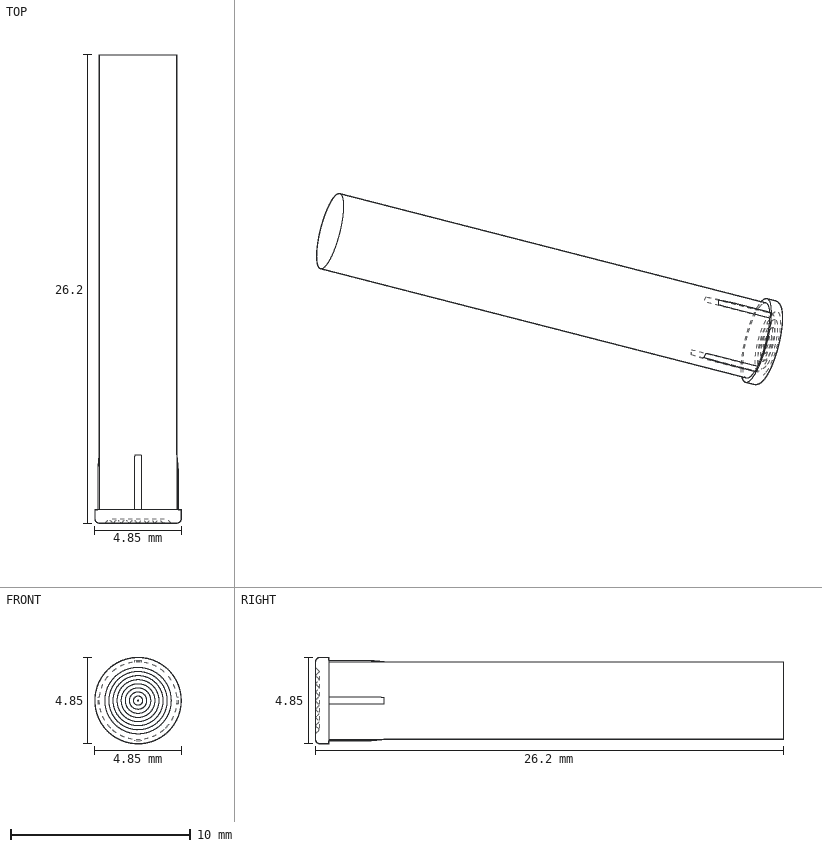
import cadquery as cq
import math

total_length = 26.15
flange_diameter = 4.85
flange_thickness = 0.75
flange_fillet = 0.25
rod_diameter = 4.35

groove_count = 4
groove_outer_radius = 1.85
center_flat_radius = 0.03
groove_pitch = (groove_outer_radius - center_flat_radius) / groove_count
groove_depth = groove_pitch / 2

rib_count = 4
rib_reach = 3.82
rib_height = 0.08
rib_tip_height = 0.005
rib_width = 0.4
rib_edge_fillet = 0.05
rib_ramp_length = 0.78
rib_blend_length = 0.24
rib_embed = 0.13

rod_radius = rod_diameter / 2
flange_radius = flange_diameter / 2


def make_body():
    """Revolved rod and flange, with the grooved face at y = 0."""
    profile = cq.Workplane("XY").moveTo(0, 0).lineTo(center_flat_radius, 0)
    for index in range(groove_count):
        crest = center_flat_radius + index * groove_pitch
        profile = profile.lineTo(crest + groove_pitch / 2, groove_depth)
        profile = profile.lineTo(crest + groove_pitch, 0)
    corner = flange_fillet * (1 - math.sqrt(0.5))
    profile = (
        profile.lineTo(flange_radius - flange_fillet, 0)
        .threePointArc((flange_radius - corner, corner), (flange_radius, flange_fillet))
        .lineTo(flange_radius, flange_thickness)
        .lineTo(rod_radius, flange_thickness)
        .lineTo(rod_radius, total_length)
        .lineTo(0, total_length)
        .close()
    )
    return profile.revolve(360, (0, 0, 0), (0, 1, 0))


def make_rib():
    """Rib on the +Z side with a blended ramp at its tip and rounded long edges."""
    top = rod_radius + rib_height
    bottom = rod_radius - rib_embed
    start = flange_thickness / 2
    ramp_corner = rib_reach - rib_ramp_length
    blend_half = rib_blend_length / 2
    ramp_slope = (rib_height - rib_tip_height) / rib_ramp_length

    blank = (
        cq.Workplane("YZ", origin=(-rib_width / 2, 0, 0))
        .moveTo(start, top)
        .lineTo(ramp_corner - blend_half, top)
        .tangentArcPoint((ramp_corner + blend_half, top - blend_half * ramp_slope), relative=False)
        .lineTo(rib_reach, rod_radius + rib_tip_height)
        .lineTo(rib_reach, bottom)
        .lineTo(start, bottom)
        .close()
        .extrude(rib_width)
    )
    return blank.faces(">Z").edges("|Y").fillet(rib_edge_fillet)


result = make_body()
rib = make_rib()
for index in range(rib_count):
    result = result.union(rib.rotate((0, 0, 0), (0, 1, 0), index * 360 / rib_count))
result = result.translate((0, -total_length / 2, 0))